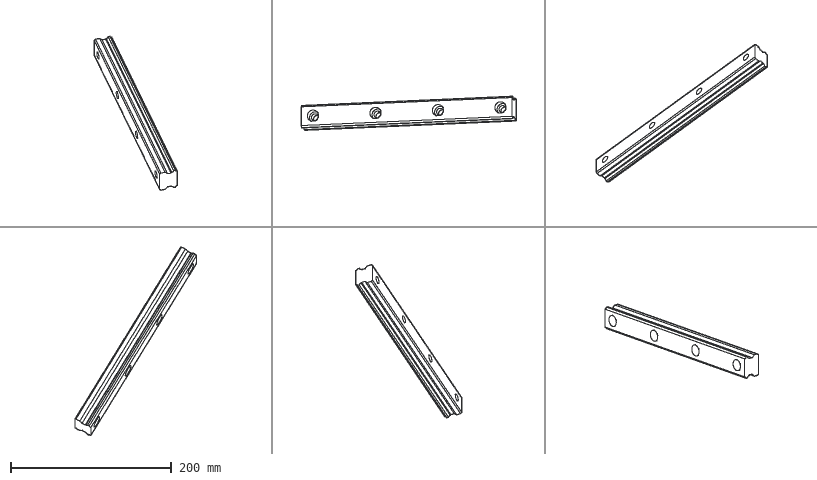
import cadquery as cq
import math

length = 270.0
height = 23.0
width = 28.0
half_width = width / 2

base_chamfer = 1.5
base_land_end = 7.0
waist_depth = 3.2
waist_end = 14.8
race_lip = 0.8
race_radius = waist_depth - race_lip
head_race_radius = 2.2
head_lip = 0.3

hole_count = 4
hole_pitch = 80.0
hole_diameter = 9.0
bore_diameter = 14.0
bore_depth = 12.0


def half_section():
    """Upper half of the Y-Z cross-section, closed along the centre line."""
    waist = half_width - waist_depth
    race_start = waist_end + race_lip
    race_bottom = waist + race_lip
    race_end = race_start + race_radius
    race_middle = (
        race_start + race_radius * math.sin(math.pi / 4),
        race_bottom + race_radius * (1 - math.cos(math.pi / 4)),
    )
    head_race_end = height - head_lip
    head_race_start = head_race_end - head_race_radius
    head_race_bottom = half_width - head_race_radius
    head_race_middle = (
        head_race_end - head_race_radius * math.sin(math.pi / 4),
        half_width - head_race_radius * math.cos(math.pi / 4),
    )
    return (
        cq.Workplane("YZ", origin=(-length / 2, 0, 0))
        .moveTo(0, 0)
        .lineTo(0, half_width - base_chamfer)
        .lineTo(base_chamfer, half_width)
        .lineTo(base_land_end, half_width)
        .lineTo(base_land_end + waist_depth, waist)
        .lineTo(waist_end, waist)
        .lineTo(race_start, race_bottom)
        .threePointArc(race_middle, (race_end, half_width))
        .lineTo(head_race_start, half_width)
        .threePointArc(head_race_middle, (head_race_end, head_race_bottom))
        .lineTo(height, head_race_bottom)
        .lineTo(height, 0)
        .close()
    )


def rail_body():
    upper_half = half_section().extrude(length)
    return upper_half.union(upper_half.mirror("XY")).clean()


def drill_mounting_holes(body):
    head_plane = cq.Plane(origin=(0, height, 0), xDir=(1, 0, 0), normal=(0, 1, 0))
    return (
        cq.Workplane(head_plane)
        .add(body)
        .rarray(hole_pitch, 2.7, hole_count, 1)
        .cboreHole(hole_diameter, bore_diameter, bore_depth)
    )


result = drill_mounting_holes(rail_body())